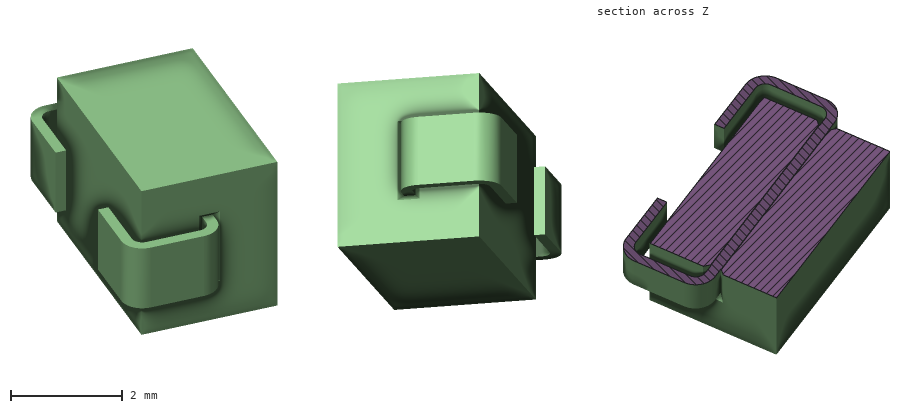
import cadquery as cq

overall_length = 5.08
overall_depth = 3.05

housing_length = 4.065
housing_height = 3.05
foot_gap = 0.23

lead_thickness = 0.205
lead_width = 1.27
bend_radius = 0.405
foot_reach = 1.525

mouth_margin = 0.1
mouth_depth = 0.1

housing_depth = overall_depth - foot_gap - lead_thickness
lead_end = overall_length / 2
lead_back = lead_thickness / 2
lead_front = housing_depth / 2 - overall_depth
foot_tip = lead_end - foot_reach
inner_radius = bend_radius - lead_thickness


def make_rounded_block(half_length, back, front, corner_radius):
    """Rounded block as wide as the lead, spanning X symmetrically and Y from front to back."""
    return (
        cq.Workplane("XY")
        .center(0, (back + front) / 2)
        .rect(2 * half_length, back - front)
        .extrude(lead_width / 2, both=True)
        .edges("|Z")
        .fillet(corner_radius)
    )


def make_lead():
    """Rounded rectangular loop, opened at the front to leave two feet."""
    outside = make_rounded_block(lead_end, lead_back, lead_front, bend_radius)
    inside = make_rounded_block(
        lead_end - lead_thickness,
        lead_back - lead_thickness,
        lead_front + lead_thickness,
        inner_radius,
    )
    opening = cq.Workplane("XY").box(2 * foot_tip, 2 * lead_thickness, lead_width)
    return outside.cut(inside).cut(opening.translate((0, lead_front, 0)))


def make_mouth(side):
    """Flared recess narrowing from the end face of the housing down to the lead section."""
    return (
        cq.Workplane("YZ", origin=(side * housing_length / 2, 0, 0))
        .rect(lead_thickness + 2 * mouth_margin, lead_width + 2 * mouth_margin)
        .workplane(offset=-side * mouth_depth)
        .rect(lead_thickness, lead_width)
        .loft(ruled=True)
    )


def make_housing():
    """Block with a through slot for the lead and a flared mouth at each end."""
    block = cq.Workplane("XY").box(housing_length, housing_depth, housing_height)
    slot = cq.Workplane("XY").box(housing_length, lead_thickness, lead_width)
    block = block.cut(slot)
    for side in (-1, 1):
        block = block.cut(make_mouth(side))
    return block


housing = make_housing().solids()
lead = make_lead().solids()

result = cq.Compound.makeCompound([housing.val(), lead.val()])